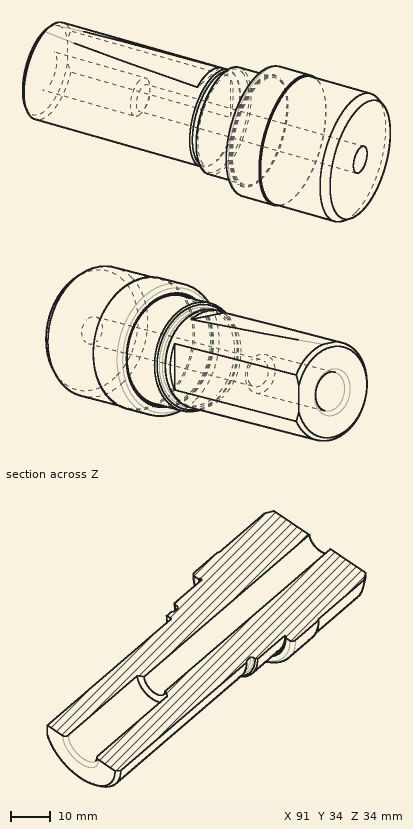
import cadquery as cq
import math

length = 91.0
collar_start = 61.4
collar_end = 71.3
body_start = 51.1
flat_end = 47.05

shank_d = 25.4
groove_d = 24.6
body_d = 28.0
collar_d = 34.0
head_d = 33.5

shank_chamfer = 1.0
groove_start = 48.9
groove_taper = 0.55
groove_fillet = 0.55
body_chamfer_length = 0.4
body_chamfer_height = 0.55
collar_fillet = 1.0
collar_step = (collar_d - head_d) / 2
head_chamfer_length = 2.2
head_end_d = 30.9

recess_d = 28.9
recess_chamfer = 0.2
recess_depth = 0.5

bore_d = 10.0
bore_depth = 27.3
bore_lip_radius = 1.0
through_d = 7.0
drill_tip_angle = 118.0

side_flat_distance = 11.2
top_flat_start_height = 12.6
top_flat_end_height = 11.4

clearance = 0.9
cutter_reach = 18.2


def revolve_about_x(profile):
    return profile.close().revolve(360, (0, 0, 0), (1, 0, 0))


def outside():
    """Stepped shank, body, collar and head as one turned shape."""
    shank_r = shank_d / 2
    groove_r = groove_d / 2
    body_r = body_d / 2
    collar_r = collar_d / 2
    head_r = head_d / 2
    profile = (
        cq.Workplane("XY")
        .lineTo(0, shank_r - shank_chamfer)
        .lineTo(shank_chamfer, shank_r)
        .lineTo(groove_start, shank_r)
        .lineTo(groove_start + groove_taper, groove_r)
        .lineTo(body_start - groove_fillet, groove_r)
        .radiusArc((body_start, groove_r + groove_fillet), -groove_fillet)
        .lineTo(body_start, body_r - body_chamfer_height)
        .lineTo(body_start + body_chamfer_length, body_r)
        .lineTo(collar_start, body_r)
        .lineTo(collar_start, collar_r - collar_fillet)
        .radiusArc((collar_start + collar_fillet, collar_r), collar_fillet)
        .lineTo(collar_end, collar_r)
        .lineTo(collar_end + collar_step, head_r)
        .lineTo(length - head_chamfer_length, head_r)
        .lineTo(length, head_end_d / 2)
        .lineTo(length, 0)
    )
    return revolve_about_x(profile)


def bore():
    """Drilled bore with a rounded mouth, running into a smaller through hole."""
    bore_r = bore_d / 2
    through_r = through_d / 2
    tip_length = (bore_r - through_r) / math.tan(math.radians(drill_tip_angle / 2))
    profile = (
        cq.Workplane("XY")
        .lineTo(0, bore_r + bore_lip_radius)
        .radiusArc((bore_lip_radius, bore_r), -bore_lip_radius)
        .lineTo(bore_depth, bore_r)
        .lineTo(bore_depth + tip_length, through_r)
        .lineTo(length, through_r)
        .lineTo(length, 0)
    )
    return revolve_about_x(profile)


def collar_recess():
    """Narrow ring between the body and the collar, chamfered at its outer edge."""
    recess_r = recess_d / 2
    profile = (
        cq.Workplane("XY")
        .moveTo(collar_start, body_d / 2)
        .lineTo(collar_start, recess_r + recess_chamfer)
        .lineTo(collar_start + recess_chamfer, recess_r)
        .lineTo(collar_start + recess_depth, recess_r)
        .lineTo(collar_start + recess_depth, body_d / 2)
    )
    return revolve_about_x(profile)


def side_flat():
    """Flat on the +Y side, parallel to the axis."""
    return cq.Workplane("XY").box(
        flat_end + clearance, cutter_reach, 2 * cutter_reach, centered=(False, False, True)
    ).translate((-clearance, side_flat_distance, 0))


def top_flat():
    """Flat on the +Z side, sinking towards the body."""
    return (
        cq.Workplane("XZ")
        .moveTo(0, top_flat_start_height)
        .lineTo(flat_end, top_flat_end_height)
        .lineTo(flat_end, cutter_reach)
        .lineTo(0, cutter_reach)
        .close()
        .extrude(cutter_reach, both=True)
    )


result = outside().cut(bore()).cut(collar_recess()).cut(side_flat()).cut(top_flat())